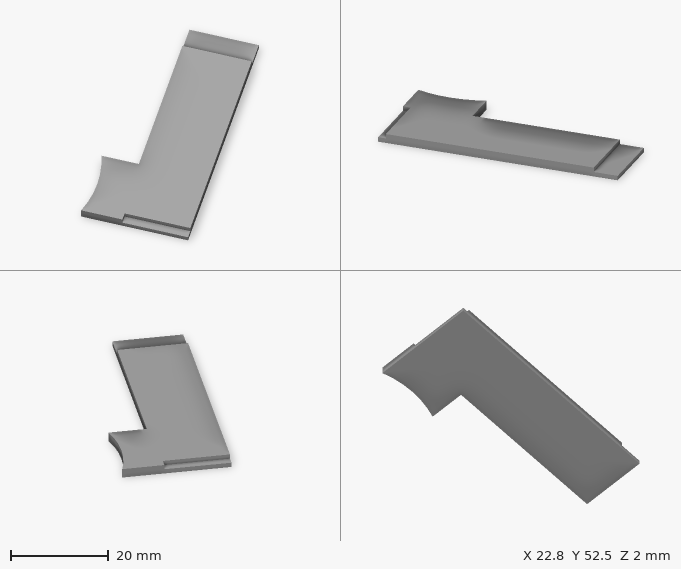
import cadquery as cq

length = 52.5
width = 22.75
thickness = 2.0

arm_width = 14.75
foot_length = 14.95
foot_hollow = 1.25

step_height = thickness / 2
end_step_length = 5.25
edge_step_width = 13.95
edge_step_depth = 1.7

arm_left = width - arm_width


def plate():
    """L-shaped plate whose foot ends in a concave arc."""
    return (
        cq.Workplane("XY")
        .lineTo(width, 0)
        .lineTo(width, length)
        .lineTo(arm_left, length)
        .lineTo(arm_left, foot_length)
        .lineTo(0, foot_length)
        .threePointArc((foot_hollow, foot_length / 2), (0, 0))
        .close()
        .extrude(thickness)
    )


def top_step(left, front, size_x, size_y):
    """Block that lowers a rectangle of the top face to the step height."""
    return (
        cq.Workplane("XY")
        .box(size_x, size_y, thickness - step_height, centered=False)
        .translate((left, front, step_height))
    )


end_step = top_step(arm_left, length - end_step_length, arm_width, end_step_length)
edge_step = top_step(width - edge_step_width, 0, edge_step_width, edge_step_depth)

result = plate().cut(end_step).cut(edge_step)